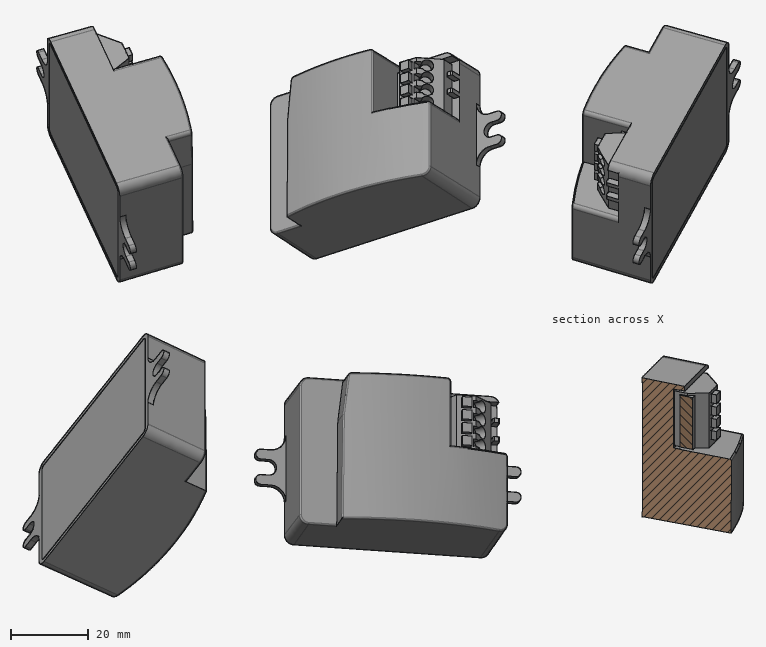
import cadquery as cq
import math

LENGTH = 54.2
WIDTH = 40.0
HEIGHT = 25.8
DRAFT_ANGLE = 0.5
CORNER_RADIUS = 2.5
EDGE_FILLET = 1.05
TOP_FILLET = 0.4
CLEAR = 7.0

CROWN_X = -1.55
CROWN_START_HEIGHT = 21.8
SHELF_HEIGHT = 17.5
STEP_X_TOP = 15.55
STEP_X_BEND = 16.95
STEP_X_BOTTOM = 17.2
STEP_BEND_Z = 8.4

MOUNT_RIM = 1.4
MOUNT_RECESS_DEPTH = 0.1
MOUNT_RECESS_RADIUS = 1.05

EAR_SPAN = 70.0
EAR_THICKNESS = 1.7
EAR_HALF_WIDTH = 4.75
EAR_SLOT_RADIUS = 2.1
EAR_ROOT_RADIUS = 4.05
EAR_SLOT_CENTER_X = 31.65

BAY_END_X = -11.2
BAY_BOTTOM_Z = 1.55
BAY_TOP_Z = 18.4
BAY_FLOOR = 8.95
BAY_RIM_HEIGHT = 12.05
BAY_LEDGE = 10.6
BAY_CORNER_RADIUS = 0.6

WALL_THICKNESS = 1.8
TOOTH_HEIGHT = 12.4
TOOTH_CHAMFER = 0.35
TOOTH_WIDTH = 1.2
TOOTH_CENTERS_Z = (13.4, 8.4)

BLOCK_FRONT_X = -24.65
BLOCK_BACK_X = -11.9
BLOCK_SHOULDER = 12.6
BLOCK_TOP = 17.7
BLOCK_TOP_BACK_X = -14.3
BLOCK_BOTTOM_Z = 2.1
BLOCK_TOP_Z = 17.8
BLOCK_LEDGE_HEIGHT = 14.35
BLOCK_LEDGE_INSET = 0.7
BLOCK_TOP_FRONT_X = BLOCK_FRONT_X + BLOCK_TOP - BLOCK_SHOULDER

POLE_COUNT = 4
POLE_PITCH = 3.5
FIRST_POLE_Z = 15.7
BUTTON_SIZE = 2.5
BUTTON_CENTER_X = -16.9
BUTTON_TOP = 19.2
BUTTON_DEPTH = 2.1
ENTRY_RADIUS = 1.6
ENTRY_DEPTH = 2.8
ENTRY_HEIGHT = 15.7
SLOT_WIDTH = 1.9
SLOT_BACK_X = -18.8
SLOT_BOTTOM = 15.5

POLE_CENTERS_Z = [FIRST_POLE_Z - index * POLE_PITCH for index in range(POLE_COUNT)]


def box_between(x_range, y_range, z_range):
    """Box given by its extents along X, Y and Z."""
    corner = (x_range[0], y_range[0], z_range[0])
    sizes = [high - low for low, high in (x_range, y_range, z_range)]
    return cq.Workplane("XY").box(*sizes, centered=False).translate(corner)


def rising_plane(height=0.0):
    """Workplane parallel to the mounting face that extrudes toward +Y."""
    return cq.Workplane(cq.Plane(origin=(0, height, 0), xDir=(1, 0, 0), normal=(0, 1, 0)))


def drafted_shell():
    """Rounded rectangular prism that narrows slightly toward its top."""
    footprint = rising_plane().sketch().rect(LENGTH, WIDTH).vertices().fillet(CORNER_RADIUS).finalize()
    return footprint.extrude(HEIGHT + CLEAR, taper=DRAFT_ANGLE)


def arched_profile():
    """Side profile with the arched top, extruded across the whole width."""
    half_length = LENGTH / 2
    run = half_length + CROWN_X
    mirrored_end_x = CROWN_X + run
    return (
        cq.Workplane("XY")
        .moveTo(-half_length, 0)
        .lineTo(-half_length, CROWN_START_HEIGHT)
        .threePointArc((CROWN_X, HEIGHT), (mirrored_end_x, CROWN_START_HEIGHT))
        .lineTo(half_length, CROWN_START_HEIGHT)
        .lineTo(half_length, 0)
        .close()
        .extrude(WIDTH / 2, both=True)
    )


def shelf_cut():
    """Space above the shelf; its step wall slants in two stretches."""
    half_width = WIDTH / 2
    outline = [
        (STEP_X_TOP, -half_width),
        (STEP_X_BEND, -STEP_BEND_Z),
        (STEP_X_BOTTOM, half_width),
        (LENGTH, half_width),
        (LENGTH, -half_width),
    ]
    return rising_plane(SHELF_HEIGHT).polyline(outline).close().extrude(HEIGHT)


def bay_cut():
    """Terminal bay: open above the rim, pocketed behind the +Z wall."""
    outside_x = -LENGTH / 2 - CLEAR
    upper = box_between(
        (outside_x, BAY_END_X), (BAY_RIM_HEIGHT, HEIGHT + CLEAR), (BAY_BOTTOM_Z, WIDTH)
    )
    middle = box_between(
        (outside_x, BAY_END_X), (BAY_LEDGE, BAY_RIM_HEIGHT), (BAY_BOTTOM_Z, BAY_TOP_Z)
    )
    pocket = box_between(
        (outside_x, BAY_END_X), (BAY_FLOOR, BAY_LEDGE), (BAY_BOTTOM_Z, BAY_TOP_Z)
    )
    pocket = pocket.edges("|Y and >X").fillet(BAY_CORNER_RADIUS)
    return upper.union(middle).union(pocket)


def bay_tooth(center_z):
    """Tooth with a chamfered tip, continuing the drafted -X wall upward."""
    wall_x = -LENGTH / 2
    tip_x = wall_x + (TOOTH_HEIGHT - TOOTH_CHAMFER) * math.tan(math.radians(DRAFT_ANGLE))
    inner_x = wall_x + WALL_THICKNESS
    shoulder = TOOTH_HEIGHT - TOOTH_CHAMFER
    outline = [
        (wall_x, 0),
        (tip_x, shoulder),
        (tip_x + TOOTH_CHAMFER, TOOTH_HEIGHT),
        (inner_x - TOOTH_CHAMFER, TOOTH_HEIGHT),
        (inner_x, shoulder),
        (inner_x, 0),
    ]
    tooth = cq.Workplane("XY").polyline(outline).close().extrude(TOOTH_WIDTH / 2, both=True)
    return tooth.translate((0, 0, center_z))


def mounting_ear():
    """Ear at the +X end: a flared root and two round-ended prongs around an open slot."""
    root_x = LENGTH / 2
    tip_x = EAR_SPAN / 2
    prong_radius = (EAR_HALF_WIDTH - EAR_SLOT_RADIUS) / 2
    prong_end_x = tip_x - prong_radius
    prong_z = (EAR_HALF_WIDTH + EAR_SLOT_RADIUS) / 2
    flare_x = root_x + EAR_ROOT_RADIUS
    flare_z = EAR_HALF_WIDTH + EAR_ROOT_RADIUS
    flare_mid_x = flare_x - EAR_ROOT_RADIUS * math.sqrt(0.5)
    flare_mid_z = flare_z - EAR_ROOT_RADIUS * math.sqrt(0.5)
    inside_x = root_x - CORNER_RADIUS
    return (
        rising_plane()
        .moveTo(inside_x, -flare_z)
        .lineTo(root_x, -flare_z)
        .threePointArc((flare_mid_x, -flare_mid_z), (flare_x, -EAR_HALF_WIDTH))
        .lineTo(prong_end_x, -EAR_HALF_WIDTH)
        .threePointArc((tip_x, -prong_z), (prong_end_x, -EAR_SLOT_RADIUS))
        .lineTo(EAR_SLOT_CENTER_X, -EAR_SLOT_RADIUS)
        .threePointArc((EAR_SLOT_CENTER_X - EAR_SLOT_RADIUS, 0), (EAR_SLOT_CENTER_X, EAR_SLOT_RADIUS))
        .lineTo(prong_end_x, EAR_SLOT_RADIUS)
        .threePointArc((tip_x, prong_z), (prong_end_x, EAR_HALF_WIDTH))
        .lineTo(flare_x, EAR_HALF_WIDTH)
        .threePointArc((flare_mid_x, flare_mid_z), (root_x, flare_z))
        .lineTo(inside_x, flare_z)
        .close()
        .extrude(EAR_THICKNESS)
    )


def mount_recess():
    """Shallow recess that leaves a rim around the mounting face."""
    return (
        rising_plane()
        .rect(LENGTH - 2 * MOUNT_RIM, WIDTH - 2 * MOUNT_RIM)
        .extrude(MOUNT_RECESS_DEPTH)
        .edges("|Y")
        .fillet(MOUNT_RECESS_RADIUS)
    )


def make_housing():
    body = drafted_shell().intersect(arched_profile()).cut(shelf_cut()).cut(bay_cut())

    bay_end_edge = (BAY_END_X, HEIGHT, WIDTH / 2)
    bay_side_edge = (-LENGTH / 2, CROWN_START_HEIGHT, BAY_BOTTOM_Z)
    step_edge = (STEP_X_TOP, HEIGHT, WIDTH / 2)
    for point in (bay_end_edge, bay_side_edge, step_edge):
        body = body.edges(cq.selectors.NearestToPointSelector(point)).fillet(EDGE_FILLET)
    shelf = body.faces(cq.selectors.NearestToPointSelector((LENGTH / 2 - CORNER_RADIUS, SHELF_HEIGHT, 0)))
    shelf_reach = cq.selectors.BoxSelector((STEP_X_BOTTOM, 0, -WIDTH), (LENGTH, HEIGHT, WIDTH))
    body = shelf.edges(shelf_reach).fillet(TOP_FILLET)
    arch = body.faces(cq.selectors.NearestToPointSelector((CROWN_X, HEIGHT, 0)))
    body = arch.edges().fillet(TOP_FILLET)

    for center_z in TOOTH_CENTERS_Z:
        body = body.union(bay_tooth(center_z))
    ear = mounting_ear()
    body = body.union(ear).union(ear.mirror("YZ"))
    return body.cut(mount_recess())


def button_box(center_z):
    half = BUTTON_SIZE / 2
    return box_between(
        (BUTTON_CENTER_X - half, BUTTON_CENTER_X + half),
        (BLOCK_TOP - BUTTON_DEPTH, BUTTON_TOP),
        (center_z - half, center_z + half),
    )


def wire_entry(center_z):
    """Round hole square to the sloped face, with a straight slot rising to the block's top."""
    mouth_x = BLOCK_FRONT_X + ENTRY_HEIGHT - BLOCK_SHOULDER
    mouth = cq.Vector(mouth_x, ENTRY_HEIGHT, center_z)
    inward = cq.Vector(1, -1, 0)
    hole = cq.Workplane(cq.Solid.makeCylinder(ENTRY_RADIUS, ENTRY_DEPTH, mouth, inward))
    slot = box_between(
        (BLOCK_FRONT_X, SLOT_BACK_X),
        (SLOT_BOTTOM, BLOCK_TOP),
        (center_z - SLOT_WIDTH / 2, center_z + SLOT_WIDTH / 2),
    )
    return hole.union(slot)


def make_terminal_block():
    outline = [
        (BLOCK_FRONT_X, BAY_FLOOR),
        (BLOCK_FRONT_X, BLOCK_SHOULDER),
        (BLOCK_TOP_FRONT_X, BLOCK_TOP),
        (BLOCK_TOP_BACK_X, BLOCK_TOP),
        (BLOCK_BACK_X, BLOCK_SHOULDER),
        (BLOCK_BACK_X, BAY_FLOOR),
    ]
    depth = BLOCK_TOP_Z - BLOCK_BOTTOM_Z
    block = cq.Workplane("XY").workplane(offset=BLOCK_BOTTOM_Z).polyline(outline).close().extrude(depth)
    ledge = box_between(
        (BLOCK_TOP_BACK_X, BAY_END_X),
        (BAY_LEDGE, BLOCK_LEDGE_HEIGHT),
        (BLOCK_BOTTOM_Z, BLOCK_TOP_Z - BLOCK_LEDGE_INSET),
    )
    block = block.union(ledge)
    for center_z in POLE_CENTERS_Z:
        block = block.cut(wire_entry(center_z)).cut(button_box(center_z))
    return block


housing = make_housing()
terminal_block = make_terminal_block()
buttons = [button_box(center_z) for center_z in POLE_CENTERS_Z]

result = cq.Compound.makeCompound(
    [housing.val(), terminal_block.val(), *[button.val() for button in buttons]]
)